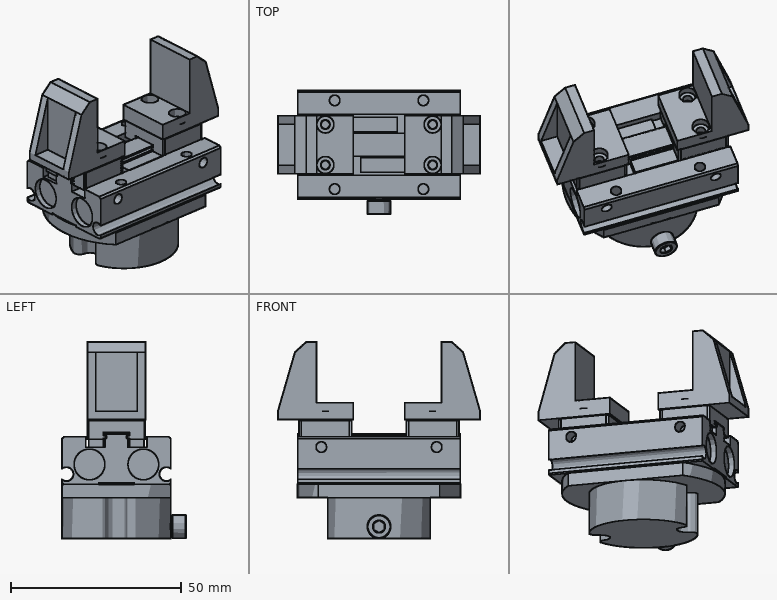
import cadquery as cq
import math


adapter_width = 32.05
plate_radius = 24.0
hub_radius = adapter_width / 2
hub_height = 12.1
plate_thickness = 3.9
scallop_x = 13.5
scallop_radius = 2.9
scallop_lip_radius = 2.0

screw_height = 3.6
screw_head_radius = 3.45
screw_head_chamfer = 0.2
screw_shank_radius = 2.0
screw_shank_depth = 7.15
screw_neck_length = 0.4
screw_neck_flare = 0.25
screw_head_length = 4.05
screw_hex_flats = 3.2
screw_socket_chamfer = 0.3
screw_hex_depth = 1.8

housing_length = 47.85
housing_width = adapter_width
housing_bottom = hub_height + plate_thickness
housing_top = 30.0
housing_top_chamfer = 0.6
housing_bottom_chamfer = 0.4
relief_width = 10.35
relief_depth = 0.4

channel_floor = 27.0
channel_outer_y = 9.0
rail_half_width = 3.4
rail_top = 30.85
race_height = 29.95
rail_race_radius = 0.5

bore_radius = 4.5
bore_y = 7.9
bore_height = 21.85
bore_depth = 1.8
sensor_groove_radius = 2.0
sensor_groove_y = 14.7
sensor_groove_height = 19.0
mount_hole_radius = 1.55
top_hole_x = 13.05
top_hole_y = 13.05
side_hole_x = 16.95
side_hole_height = 27.0
mount_hole_depth = 4.75

slide_inner_x = 8.0
slide_outer_x = 23.6
slide_end_half_width = 8.15
slide_side_half_width = 8.5
slide_end_length = 0.8
slide_bottom = 29.25
slide_top = 34.85
slide_slot_half_width = 3.8
slide_slot_top = 31.3
slide_bead_radius = 0.5
slide_bead_y = 3.65
arm_tip_x = -5.35
thread_radius = 1.25
thread_depth = 3.6

jaw_half_width = 8.6
jaw_bottom = 35.05
jaw_base_top = 40.0
jaw_top = 57.9
jaw_inner_x = 7.55
jaw_grip_x = 18.35
jaw_tip_x = 21.45
jaw_knee_x = 24.75
jaw_knee_height = 54.85
jaw_outer_x = 29.75
jaw_ledge_height = 37.5
jaw_pocket_half_width = 6.1
jaw_bolt_x = 15.8
jaw_bolt_y = 5.95
jaw_bolt_radius = 1.35
jaw_counterbore_radius = 2.5


def box(x_range, y_range, z_range):
    """Axis-aligned box between two limits on each axis."""
    size = [high - low for low, high in (x_range, y_range, z_range)]
    corner = (x_range[0], y_range[0], z_range[0])
    return cq.Workplane("XY").box(*size, centered=False).translate(corner)


def cylinder(radius, start, end):
    """Cylinder running from one point to another."""
    axis = cq.Vector(*end) - cq.Vector(*start)
    return cq.Workplane(cq.Solid.makeCylinder(radius, axis.Length, cq.Vector(*start), axis))


def cone(start_radius, end_radius, start, end):
    """Truncated cone running from one point to another."""
    axis = cq.Vector(*end) - cq.Vector(*start)
    solid = cq.Solid.makeCone(start_radius, end_radius, axis.Length, cq.Vector(*start), axis)
    return cq.Workplane(solid)


def make_hub():
    """Round hub with a round scallop on each X side, its lips rounded into the hub."""
    hub = cylinder(hub_radius, (0, 0, 0), (0, 0, hub_height))
    for x in (-scallop_x, scallop_x):
        hub = hub.cut(cylinder(scallop_radius, (x, 0, 0), (x, 0, hub_height)))

    corner_x = (hub_radius**2 + scallop_x**2 - scallop_radius**2) / (2 * scallop_x)
    corner_y = math.sqrt(hub_radius**2 - corner_x**2)
    for x in (-corner_x, corner_x):
        for y in (-corner_y, corner_y):
            lip = cq.selectors.NearestToPointSelector((x, y, hub_height / 2))
            hub = hub.edges(lip).fillet(scallop_lip_radius)
    return hub


def make_clamp_screw():
    """Socket head screw pointing along +Y."""
    head_back = -hub_radius - screw_neck_length
    head_front = head_back - screw_head_length
    shank_end = -hub_radius + screw_shank_depth
    head = cylinder(screw_head_radius, (0, head_front, screw_height), (0, head_back, screw_height))
    head = head.edges("%CIRCLE").chamfer(screw_head_chamfer)
    shank = cylinder(screw_shank_radius, (0, head_back, screw_height), (0, shank_end, screw_height))
    flare = cone(
        screw_shank_radius + screw_neck_flare,
        screw_shank_radius,
        (0, head_back, screw_height),
        (0, head_back + screw_neck_flare, screw_height),
    )

    face = cq.Workplane("XZ", origin=(0, head_front, screw_height))
    hex_corners = screw_hex_flats / math.cos(math.pi / 6)
    socket = face.transformed(rotate=(0, 0, 90)).polygon(6, hex_corners).extrude(-screw_hex_depth)
    lead_in = cone(
        hex_corners / 2,
        hex_corners / 2 - screw_socket_chamfer,
        (0, head_front, screw_height),
        (0, head_front + screw_socket_chamfer, screw_height),
    )
    return head.union(shank).union(flare).cut(socket).cut(lead_in)


def make_adapter():
    """Plate and hub, with a blind hole that the screw shank fits."""
    plate = cylinder(plate_radius, (0, 0, hub_height), (0, 0, housing_bottom))
    flats = box(
        (-plate_radius, plate_radius),
        (-adapter_width / 2, adapter_width / 2),
        (hub_height, housing_bottom),
    )
    screw_hole = cylinder(
        screw_shank_radius,
        (0, -hub_radius - screw_neck_length, screw_height),
        (0, -hub_radius + screw_shank_depth, screw_height),
    )
    return plate.intersect(flats).union(make_hub()).cut(screw_hole)


def make_housing():
    """Housing block with its rail, channels, grooves, bores and mounting holes."""
    end_x = housing_length / 2
    side_y = housing_width / 2
    ends = (-end_x, end_x)

    body = box(ends, (-side_y, side_y), (housing_bottom, housing_top))
    body = body.edges("|X and >Z").chamfer(housing_top_chamfer)
    body = body.edges("|X and <Z").chamfer(housing_bottom_chamfer)

    body = body.cut(box(ends, (-channel_outer_y, channel_outer_y), (channel_floor, rail_top)))
    rail = box(ends, (-rail_half_width, rail_half_width), (channel_floor, rail_top))
    body = body.union(rail)

    relief_top = housing_bottom + relief_depth
    body = body.cut(box(ends, (-relief_width / 2, relief_width / 2), (housing_bottom, relief_top)))

    for side in (-1, 1):
        for radius, y, z in (
            (rail_race_radius, rail_half_width, race_height),
            (sensor_groove_radius, sensor_groove_y, sensor_groove_height),
        ):
            body = body.cut(cylinder(radius, (-end_x, side * y, z), (end_x, side * y, z)))
        for end in (-1, 1):
            bore_x = end * (end_x - bore_depth)
            bore = cylinder(
                bore_radius,
                (end * end_x, side * bore_y, bore_height),
                (bore_x, side * bore_y, bore_height),
            )
            top_hole = cylinder(
                mount_hole_radius,
                (end * top_hole_x, side * top_hole_y, housing_top),
                (end * top_hole_x, side * top_hole_y, housing_top - mount_hole_depth),
            )
            side_hole = cylinder(
                mount_hole_radius,
                (end * side_hole_x, side * side_y, side_hole_height),
                (end * side_hole_x, side * (side_y - mount_hole_depth), side_hole_height),
            )
            body = body.cut(bore).cut(top_hole).cut(side_hole)
    return body


def make_slide():
    """Slide on the +X side; its drive arm runs along the -Y channel."""
    length = (slide_inner_x, slide_outer_x)
    side_length = (slide_inner_x + slide_end_length, slide_outer_x - slide_end_length)
    height = (slide_bottom, slide_top)
    slide = box(length, (-slide_end_half_width, slide_end_half_width), height)
    slide = slide.union(box(side_length, (-slide_side_half_width, slide_side_half_width), height))

    slot_range = (-slide_slot_half_width, slide_slot_half_width)
    slide = slide.cut(box(length, slot_range, (slide_bottom, slide_slot_top)))
    for side in (-1, 1):
        bead_y = side * slide_bead_y
        slide = slide.union(
            cylinder(
                slide_bead_radius,
                (slide_inner_x, bead_y, race_height),
                (slide_outer_x, bead_y, race_height),
            )
        )
        bolt_y = side * jaw_bolt_y
        slide = slide.cut(
            cylinder(
                thread_radius,
                (jaw_bolt_x, bolt_y, slide_top),
                (jaw_bolt_x, bolt_y, slide_top - thread_depth),
            )
        )

    arm = box(
        (arm_tip_x, side_length[1]),
        (-slide_end_half_width, -slide_slot_half_width),
        (channel_floor, slide_bottom),
    )
    return slide.union(arm)


def make_jaw():
    """L-shaped jaw on the +X side."""
    jaw = (
        cq.Workplane("XZ")
        .polyline(
            [
                (jaw_inner_x, jaw_bottom),
                (jaw_outer_x, jaw_bottom),
                (jaw_outer_x, jaw_ledge_height),
                (jaw_knee_x, jaw_knee_height),
                (jaw_tip_x, jaw_top),
                (jaw_grip_x, jaw_top),
                (jaw_grip_x, jaw_base_top),
                (jaw_inner_x, jaw_base_top),
            ]
        )
        .close()
        .extrude(jaw_half_width, both=True)
    )
    pocket = box(
        (jaw_knee_x, jaw_outer_x),
        (-jaw_pocket_half_width, jaw_pocket_half_width),
        (jaw_ledge_height, jaw_knee_height),
    )
    jaw = jaw.cut(pocket)
    for bolt_y in (-jaw_bolt_y, jaw_bolt_y):
        for radius, floor in (
            (jaw_bolt_radius, jaw_bottom),
            (jaw_counterbore_radius, jaw_ledge_height),
        ):
            hole = cylinder(
                radius,
                (jaw_bolt_x, bolt_y, floor),
                (jaw_bolt_x, bolt_y, jaw_base_top),
            )
            jaw = jaw.cut(hole)
    return jaw


def turned(body, angle):
    """Body turned about the Z axis."""
    return body.rotate((0, 0, 0), (0, 0, 1), angle)


adapter = make_adapter()
clamp_screw = make_clamp_screw()
housing = make_housing()

slides = [turned(make_slide(), angle) for angle in (0, 180)]
jaws = [turned(make_jaw(), angle) for angle in (0, 180)]

result = cq.Compound.makeCompound(
    [adapter.val(), clamp_screw.val(), housing.val()] + [body.val() for body in slides + jaws]
)